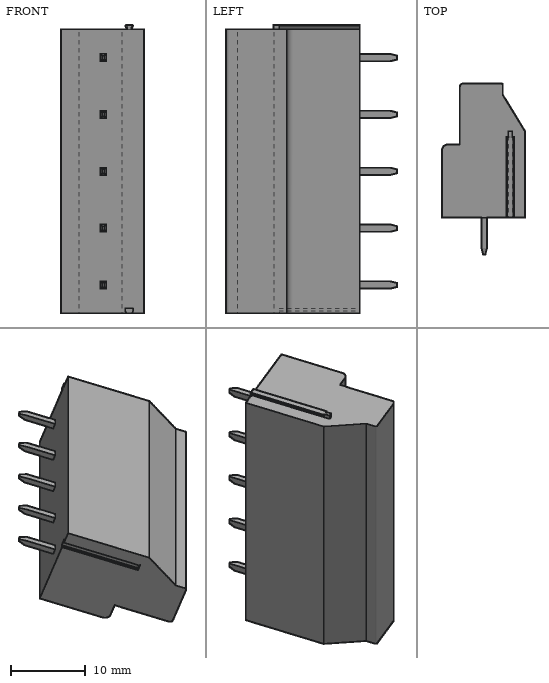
import cadquery as cq

pole_count = 5
pole_pitch = 7.62
body_width = 11.2
body_depth = 18.0
body_height = pole_count * pole_pitch
overall_height = 38.7

step_width = 2.4
step_depth = 9.83
step_radius = 0.85
back_width = 5.8
back_left_radius = 0.45
back_right_radius = 0.25
back_land = 1.55
slope_foot_depth = 11.57

pin_width = 0.77
pin_height = 1.0
pin_length = 5.0
pin_tip_length = 0.93
pin_tip_width = 0.3
pin_tip_height = 0.55
pin_x = 5.7

dovetail_x = 9.17
dovetail_width = 1.1
dovetail_length = 10.85
rib_height = overall_height - body_height
rib_wide_level = 0.43
rib_base_width = 0.5
rib_top_width = 0.85
nose_length = 0.77

groove_depth = 0.7
groove_wide_level = 0.4
groove_mouth_width = 0.77
groove_top_width = 1.0


def make_housing():
    back_left = step_width
    back_right = step_width + back_width
    housing = (
        cq.Workplane("XY")
        .moveTo(0, 0)
        .lineTo(body_width, 0)
        .lineTo(body_width, slope_foot_depth)
        .lineTo(back_right, body_depth - back_land)
        .lineTo(back_right, body_depth)
        .lineTo(back_left, body_depth)
        .lineTo(back_left, step_depth)
        .lineTo(0, step_depth)
        .close()
        .extrude(body_height)
    )
    rounded_corners = (
        (0, step_depth, step_radius),
        (back_left, body_depth, back_left_radius),
        (back_right, body_depth, back_right_radius),
    )
    for x, y, radius in rounded_corners:
        corner = cq.selectors.NearestToPointSelector((x, y, body_height / 2))
        housing = housing.edges(corner).fillet(radius)
    return housing


def make_pin(z):
    shank_length = pin_length - pin_tip_length
    front_face = cq.Workplane("XZ", origin=(pin_x, 0, z))
    shank = front_face.rect(pin_width, pin_height).extrude(shank_length)
    tip = (
        front_face.workplane(offset=shank_length)
        .rect(pin_width, pin_height)
        .workplane(offset=pin_tip_length)
        .rect(pin_tip_width, pin_tip_height)
        .loft(ruled=True)
    )
    return shank.union(tip)


def make_dovetail(base_z, base_width, wide_level, top_width, height):
    """Bar along Y, widest at wide_level and symmetric about dovetail_x."""
    right_side = [
        (base_width / 2, 0),
        (dovetail_width / 2, wide_level),
        (top_width / 2, height),
    ]
    left_side = [(-x, z) for x, z in reversed(right_side)]
    profile = cq.Workplane("XZ", origin=(dovetail_x, 0, base_z)).polyline(right_side + left_side)
    return profile.close().extrude(-dovetail_length)


def make_rib():
    bar = make_dovetail(body_height, rib_base_width, rib_wide_level, rib_top_width, rib_height)
    nose = cq.Workplane("XY").box(rib_base_width, nose_length, rib_height, centered=(True, False, False))
    return bar.union(nose.translate((dovetail_x, dovetail_length, body_height)))


def make_groove():
    return make_dovetail(0, groove_mouth_width, groove_wide_level, groove_top_width, groove_depth)


result = make_housing().union(make_rib()).cut(make_groove())
for pole in range(pole_count):
    result = result.union(make_pin((pole + 0.5) * pole_pitch))